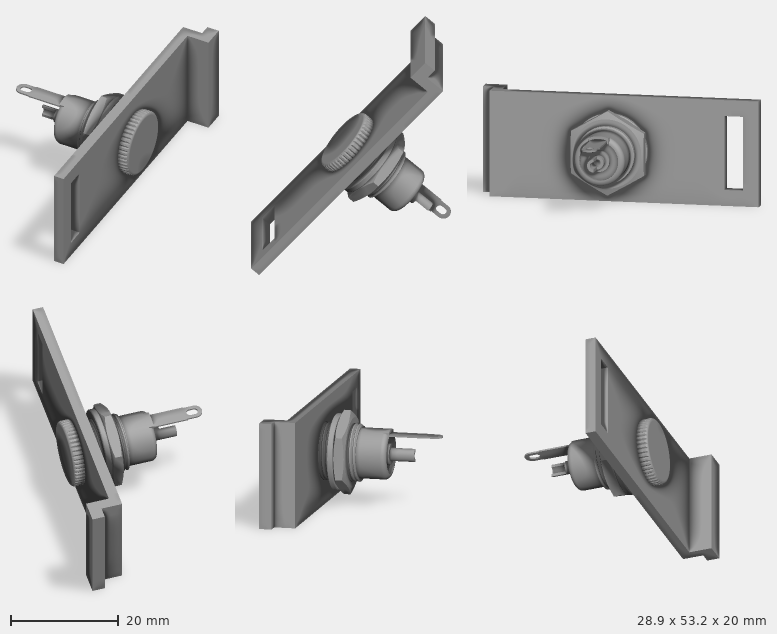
import cadquery as cq
import math


panel_thickness = 2.0
panel_height = 20.0
panel_bottom_y = -27.7
panel_total_length = 53.2
lip_length = 2.1
lip_thickness = 2.4
lip_outer_x = 6.4
clearance_hole_diameter = 11.0
slot_width = 3.5
slot_height = 14.0
slot_center_y = -23.0

barrel_diameter = 9.5
barrel_rear_x = -12.65
barrel_edge_radius = 1.0
bore_diameter = 8.5
lip_opening_diameter = 7.4
thread_core_diameter = 10.19
thread_outer_diameter = 10.8
thread_start_x = -7.0
thread_end_x = 0.5
thread_pitch = 0.75
thread_lead_in = 0.9 * thread_pitch
thread_root_width = 0.65
thread_crest_width = 0.2
thread_bite = 0.1
head_diameter = 12.5
head_thickness = 2.1
head_edge_radius = 0.6
knurl_count = 45
knurl_depth = 0.25
knurl_open_fraction = 2 / 3
knurl_overshoot = 0.05
notch_width = 3.94
tab_width = 3.64
lug_window_width = 3.2

washer_diameter = 14.3
washer_thickness = 1.1
washer_edge = 0.15
washer_front_x = -2.0
nut_corner_diameter = 16.0
nut_thickness = 2.3
nut_hole_diameter = 10.85
nut_face_diameter = 13.1
nut_chamfer_angle = 20.0

insulator_recess = 0.9
boss_diameter = 4.0

contact_diameter = 2.48
cup_bore_diameter = 1.4
contact_rear_x = -17.3
cup_length = 3.1
cup_cone_depth = 0.4
cup_bore_length = 3.6
contact_embedment = 4.0

lug_thickness = 0.3
lug_bottom_z = 3.6
lug_width = 3.08
lug_tip_width = 2.8
overall_length = 28.9
lug_tip_x = lip_outer_x - overall_length
lug_step_x = -19.3
lug_hole_length = 2.2
lug_hole_width = 1.4
lug_hole_center_x = -20.6
lug_embedment = 3.0

head_front_x = panel_thickness + head_thickness
washer_rear_x = washer_front_x - washer_thickness
nut_rear_x = washer_rear_x - nut_thickness
insulator_rear_x = barrel_rear_x + insulator_recess


def cylinder(diameter, start_x, end_x):
    """Solid cylinder on the connector axis between two X positions."""
    return cq.Workplane("YZ").workplane(offset=start_x).circle(diameter / 2).extrude(end_x - start_x)


def block(x_range, y_range, z_range):
    """Axis-aligned box given by its limits."""
    size = [high - low for low, high in (x_range, y_range, z_range)]
    corner = (x_range[0], y_range[0], z_range[0])
    return cq.Workplane("XY").box(*size, centered=False).translate(corner)


def make_panel():
    lip_top_y = panel_bottom_y + panel_total_length
    step_y = lip_top_y - lip_length
    outline = [
        (0, panel_bottom_y),
        (panel_thickness, panel_bottom_y),
        (panel_thickness, step_y - panel_thickness),
        (lip_outer_x, step_y - panel_thickness),
        (lip_outer_x, lip_top_y),
        (lip_outer_x - lip_thickness, lip_top_y),
        (lip_outer_x - lip_thickness, step_y),
        (0, step_y),
    ]
    panel = cq.Workplane("XY").polyline(outline).close().extrude(panel_height / 2, both=True)
    slot = cq.Workplane("XY").box(2 * panel_thickness, slot_width, slot_height)
    panel = panel.cut(slot.translate((panel_thickness / 2, slot_center_y, 0)))
    return panel.cut(cylinder(clearance_hole_diameter, 0, panel_thickness))


def make_thread():
    """Helical ridge whose flanks run straight into the core, cut square at the thread start."""
    half_root = thread_root_width / 2
    half_crest = thread_crest_width / 2
    outer_radius = thread_outer_diameter / 2
    buried_radius = thread_core_diameter / 2 - thread_bite
    path = cq.Wire.makeHelix(thread_pitch, thread_end_x - thread_start_x + thread_lead_in, outer_radius)
    ridge = (
        cq.Workplane("XZ")
        .polyline([
            (buried_radius, -half_root),
            (outer_radius, -half_crest),
            (outer_radius, half_crest),
            (buried_radius, half_root),
        ])
        .close()
        .sweep(cq.Workplane(obj=path), isFrenet=True)
    )
    ridge = ridge.rotate((0, 0, 0), (0, 1, 0), 90).translate((thread_start_x - thread_lead_in, 0, 0))
    return ridge.intersect(cylinder(head_diameter, thread_start_x, panel_thickness))


def make_head():
    head = cylinder(head_diameter, panel_thickness, head_front_x)
    head = head.faces(">X").edges().fillet(head_edge_radius)
    half_width = math.pi * head_diameter / knurl_count * knurl_open_fraction / 2
    groove_top = head_diameter / 2 + knurl_overshoot
    groove = (
        cq.Workplane("YZ")
        .workplane(offset=panel_thickness)
        .polyline([(-half_width, groove_top), (0, head_diameter / 2 - knurl_depth), (half_width, groove_top)])
        .close()
        .extrude(head_thickness)
    )
    for index in range(knurl_count):
        head = head.cut(groove.rotate((0, 0, 0), (1, 0, 0), index * 360 / knurl_count))
    return head


def upper_segment(diameter, width):
    """Part of the barrel's rounded end zone, kept to a width about the upper Z axis."""
    end_x = barrel_rear_x + barrel_edge_radius
    zone = block((barrel_rear_x, end_x), (-width / 2, width / 2), (0, diameter))
    return cylinder(diameter, barrel_rear_x, end_x).intersect(zone)


def make_housing():
    barrel = cylinder(barrel_diameter, barrel_rear_x, head_front_x)
    barrel = barrel.faces("<X").edges().fillet(barrel_edge_radius)
    barrel = barrel.cut(upper_segment(barrel_diameter, notch_width))
    tab = upper_segment(barrel_diameter, tab_width).cut(upper_segment(bore_diameter, lug_window_width))
    core = cylinder(thread_core_diameter, thread_start_x, head_front_x - head_edge_radius)
    return (
        barrel.union(tab)
        .union(core)
        .union(make_head())
        .union(make_thread())
        .cut(cylinder(bore_diameter, insulator_rear_x, head_front_x))
        .cut(cylinder(lip_opening_diameter, barrel_rear_x, insulator_rear_x))
    )


def make_washer():
    washer = cylinder(washer_diameter, washer_rear_x, washer_front_x).edges().chamfer(washer_edge)
    return washer.cut(cylinder(clearance_hole_diameter, washer_rear_x, washer_front_x))


def make_nut():
    corner_radius = nut_corner_diameter / 2
    corner_drop = (corner_radius - nut_face_diameter / 2) * math.tan(math.radians(nut_chamfer_angle))
    hexagon = (
        cq.Workplane("YZ")
        .workplane(offset=nut_rear_x)
        .polygon(6, nut_corner_diameter)
        .extrude(nut_thickness)
        .rotate((0, 0, 0), (1, 0, 0), 30)
    )
    chamfer_envelope = (
        cq.Workplane("XY")
        .polyline([
            (nut_rear_x, 0),
            (nut_rear_x, nut_face_diameter / 2),
            (nut_rear_x + corner_drop, corner_radius),
            (washer_rear_x - corner_drop, corner_radius),
            (washer_rear_x, nut_face_diameter / 2),
            (washer_rear_x, 0),
        ])
        .close()
        .revolve(360, (0, 0, 0), (1, 0, 0))
    )
    nut_hole = cylinder(nut_hole_diameter, nut_rear_x, washer_rear_x)
    return hexagon.intersect(chamfer_envelope).cut(nut_hole)


def make_contact():
    cup_end_x = contact_rear_x + cup_length
    contact = cylinder(contact_diameter, contact_rear_x, insulator_rear_x + contact_embedment)
    bore_radius = cup_bore_diameter / 2
    bore = (
        cq.Workplane("XY")
        .polyline([
            (contact_rear_x, 0),
            (contact_rear_x, bore_radius),
            (contact_rear_x + cup_bore_length, bore_radius),
            (contact_rear_x + cup_bore_length + cup_cone_depth, 0),
        ])
        .close()
        .revolve(360, (0, 0, 0), (1, 0, 0))
    )
    open_half = block(
        (contact_rear_x, cup_end_x), (-contact_diameter, 0), (-contact_diameter, contact_diameter)
    )
    return contact.cut(bore).cut(open_half)


def make_lug():
    strip_end_x = insulator_rear_x + lug_embedment
    tip_radius = lug_tip_width / 2
    tip_center_x = lug_tip_x + tip_radius
    return (
        cq.Workplane("XY")
        .workplane(offset=lug_bottom_z)
        .moveTo(tip_center_x, -tip_radius)
        .lineTo(lug_step_x, -tip_radius)
        .lineTo(lug_step_x, -lug_width / 2)
        .lineTo(strip_end_x, -lug_width / 2)
        .lineTo(strip_end_x, lug_width / 2)
        .lineTo(lug_step_x, lug_width / 2)
        .lineTo(lug_step_x, tip_radius)
        .lineTo(tip_center_x, tip_radius)
        .threePointArc((lug_tip_x, 0), (tip_center_x, -tip_radius))
        .close()
        .extrude(lug_thickness)
        .cut(
            cq.Workplane("XY")
            .workplane(offset=lug_bottom_z)
            .center(lug_hole_center_x, 0)
            .slot2D(lug_hole_length, lug_hole_width)
            .extrude(lug_thickness)
        )
    )


def make_insulator():
    body = cylinder(bore_diameter, insulator_rear_x, head_front_x)
    boss = cylinder(boss_diameter, barrel_rear_x, insulator_rear_x)
    return body.union(boss).cut(contact).cut(lug)


panel = make_panel()
housing = make_housing()
washer = make_washer()
nut = make_nut()
contact = make_contact()
lug = make_lug()
insulator = make_insulator()

result = cq.Compound.makeCompound(
    [body.solids().val() for body in (panel, housing, washer, nut, contact, lug, insulator)]
)